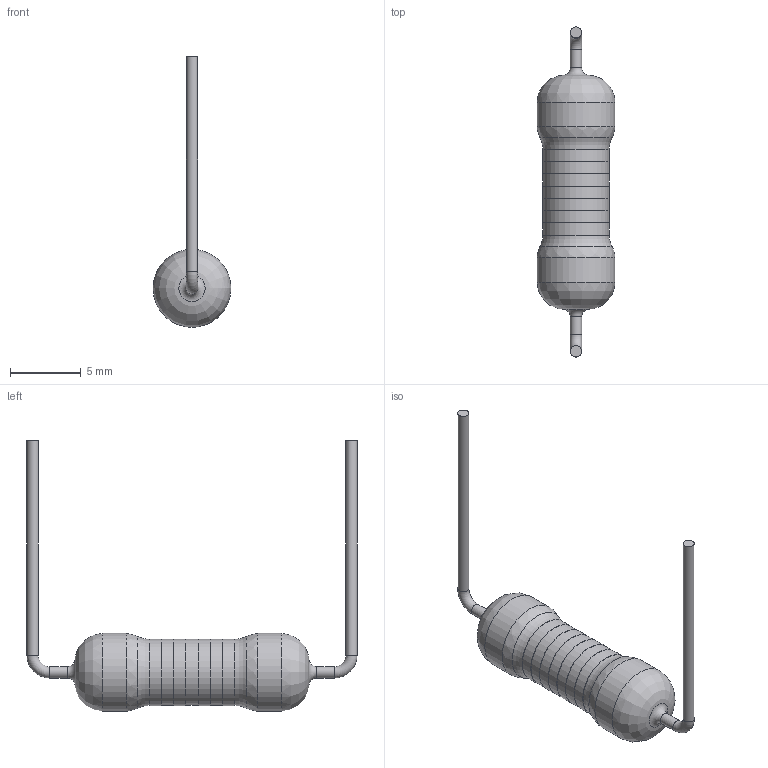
import cadquery as cq
import math


cap_diameter = 5.5
barrel_diameter = 4.67
band_diameter = 4.7
cap_round_radius = 1.9
cap_straight_length = 1.72
body_length = 16.5
neck_fillet_radius = 0.55

strip_count = 7
strip_width = 0.865

lead_diameter = 0.8
lead_pitch = 22.5
lead_bend_radius = 1.2
lead_top_height = 16.35

cap_radius = cap_diameter / 2
barrel_radius = barrel_diameter / 2
lead_radius = lead_diameter / 2

barrel_end = strip_count * strip_width / 2
cap_outer_end = body_length / 2 - cap_round_radius
cap_inner_end = cap_outer_end - cap_straight_length

shoulder_mid_radius = (cap_radius + barrel_radius) / 2
shoulder_mid = (cap_inner_end + barrel_end) / 2
shoulder_rise = shoulder_mid_radius - barrel_radius
shoulder_run = shoulder_mid - barrel_end
shoulder_radius = (shoulder_rise**2 + shoulder_run**2) / (2 * shoulder_rise)

cap_round_center_radius = cap_radius - cap_round_radius
neck_center_radius = lead_radius + neck_fillet_radius
neck_center_offset = neck_center_radius - cap_round_center_radius
centers_distance = cap_round_radius + neck_fillet_radius
neck_end = cap_outer_end + math.sqrt(centers_distance**2 - neck_center_offset**2)
tangent_share = cap_round_radius / centers_distance
neck_start_radius = cap_round_center_radius + tangent_share * neck_center_offset
neck_start = cap_outer_end + tangent_share * (neck_end - cap_outer_end)


def make_end_cap():
    """Body end on the +Y side; the profile has radius along X and length along Y."""
    profile = (
        cq.Workplane("XY")
        .moveTo(0, barrel_end)
        .lineTo(barrel_radius, barrel_end)
        .radiusArc((shoulder_mid_radius, shoulder_mid), shoulder_radius)
        .tangentArcPoint((cap_radius, cap_inner_end), relative=False)
        .lineTo(cap_radius, cap_outer_end)
        .tangentArcPoint((neck_start_radius, neck_start), relative=False)
        .tangentArcPoint((lead_radius, neck_end), relative=False)
        .lineTo(0, neck_end)
        .close()
    )
    return profile.revolve(360, (0, 0, 0), (0, 1, 0))


def make_cylinder(diameter, length, center_y):
    """Cylinder along Y, centered at center_y."""
    return (
        cq.Workplane("XZ", origin=(0, center_y + length / 2, 0))
        .circle(diameter / 2)
        .extrude(length)
    )


def make_lead():
    """Lead on the +Y side: out along Y, round the bend, then straight up."""
    path = (
        cq.Workplane("YZ", origin=(0, neck_end, 0))
        .lineTo(lead_pitch / 2 - lead_bend_radius - neck_end, 0)
        .radiusArc((lead_pitch / 2 - neck_end, lead_bend_radius), -lead_bend_radius)
        .lineTo(lead_pitch / 2 - neck_end, lead_top_height)
    )
    return cq.Workplane("XZ", origin=(0, neck_end, 0)).circle(lead_radius).sweep(path)


resistor_end = make_end_cap().union(make_lead())
resistor = make_cylinder(barrel_diameter, 2 * barrel_end, 0)
resistor = resistor.union(resistor_end).union(resistor_end.mirror("XZ"))

for strip in range(0, strip_count, 2):
    band_center = (strip + 0.5) * strip_width - barrel_end
    resistor = resistor.union(make_cylinder(band_diameter, strip_width, band_center))

result = cq.Workplane(resistor.solids().val())